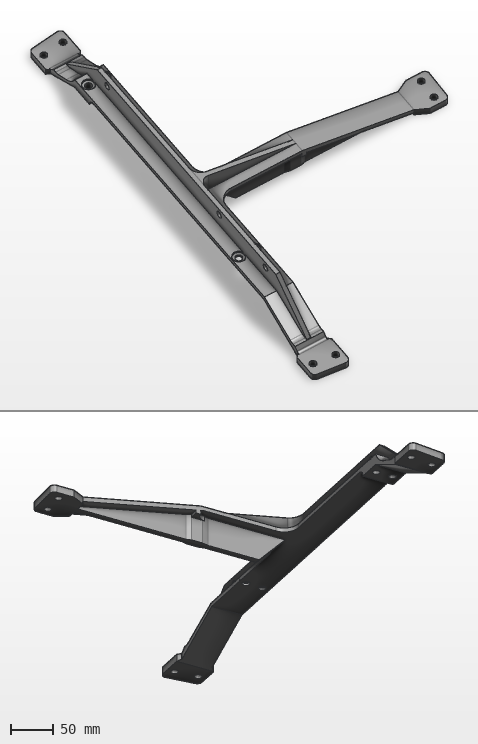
import cadquery as cq
import math

length = 612.0
height = 71.5
half_length = length / 2
flange_width = 41.0
flange_half_width = flange_width / 2
flange_top = 43.0
flange_thickness = 5.5
flange_bottom = flange_top - flange_thickness
web_thickness = 6.0
web_top_half_length = 189.0
flange_bend = 191.0
underside_bend = 189.0
slope_foot = 248.5
slope_foot_radius = 14.0
shelf_height = 16.0
shelf_end = 256.0
foot_start = 262.0
foot_start_radius = 6.0
underside_end = 266.0

pad_outer = -211.0
pad_inner = -180.0
pad_bottom = 28.0
pad_radius = flange_bottom - pad_bottom
ramp_end = -229.0
ramp_angle = 24.0

foot_thickness = 10.0
foot_width = 50.0
foot_half_width = foot_width / 2
foot_taper = 6.0
foot_corner_radius = 6.0
neck_chamfer = 4.0
foot_hole_diameter = 9.0
foot_holes = [(289.0, 15.0), (285.0, -14.5)]

web_hole_diameter = 9.0
web_hole_height = 62.0
web_hole_positions = [-168.5, 69.0, 167.0]
screw_positions = [-196.0, 122.5]
screw_offset = 11.0
screw_diameter = 9.0
counterbore_diameter = 16.5
counterbore_depth = 2.5

arm_x = 13.5
arm_width = 33.5
arm_half_width = arm_width / 2
arm_top_start = 3.0
arm_top_end = 302.5
arm_flange_thickness = 6.0
arm_fillet = 19.5
rib_thickness = 7.0
rib_fillet = 14.0
arm_slope = (height - foot_thickness) / (arm_top_end - arm_top_start)
arm_bend = arm_top_start + (height - flange_top) / arm_slope
slab_drop = arm_flange_thickness * math.hypot(1, arm_slope)
slab_end = arm_top_end + foot_thickness / arm_slope

keel_half_thickness = 3.5
keel_start = 56.0
boss_half_thickness = 5.5
boss_start = 125.5
boss_flat_start = 133.5
boss_flat_end = 149.0
boss_end = 155.5

pad_depth = 6.0
pad_flare = arm_half_width - boss_half_thickness
pad_start = 131.0

total_depth = 374.0
arm_end = total_depth - foot_half_width
arm_foot_width = 51.5
arm_foot_lean = 2.0
arm_foot_shoulder = 319.5
arm_foot_holes = [(-1.0, 334.0), (27.5, 333.0)]


def extrude_along_y(outline, width):
    """Extrude a closed XZ outline symmetrically about Y = 0."""
    return outline.close().extrude(width / 2, both=True)


def crossbar_flange():
    ramp_end_height = shelf_height + (ramp_end + slope_foot) * math.tan(math.radians(ramp_angle))
    outline = (
        cq.Workplane("XZ")
        .moveTo(-underside_end, 0)
        .lineTo(-underside_end, foot_thickness)
        .lineTo(-foot_start, foot_thickness)
        .lineTo(-shelf_end, shelf_height)
        .lineTo(-slope_foot, shelf_height)
        .lineTo(ramp_end, ramp_end_height)
        .tangentArcPoint((pad_outer, flange_top), relative=False)
        .lineTo(flange_bend, flange_top)
        .lineTo(slope_foot, shelf_height)
        .lineTo(shelf_end, shelf_height)
        .lineTo(foot_start, foot_thickness)
        .lineTo(underside_end, foot_thickness)
        .lineTo(underside_end, 0)
        .lineTo(underside_bend, flange_bottom)
        .lineTo(pad_inner + pad_radius, flange_bottom)
        .radiusArc((pad_inner, pad_bottom), -pad_radius)
        .lineTo(pad_outer, pad_bottom)
    )
    flange = extrude_along_y(outline, flange_width)
    hollow_corners = [
        (slope_foot, shelf_height, slope_foot_radius),
        (foot_start, foot_thickness, foot_start_radius),
    ]
    for x, z, radius in hollow_corners:
        for side in (-1, 1):
            corner = cq.selectors.NearestToPointSelector((side * x, 0, z))
            flange = flange.edges("|Y").edges(corner).fillet(radius)
    return flange


def crossbar_web():
    outline = (
        cq.Workplane("XZ")
        .moveTo(-foot_start, foot_thickness)
        .lineTo(-web_top_half_length, height)
        .lineTo(web_top_half_length, height)
        .lineTo(foot_start, foot_thickness)
        .lineTo(underside_end, 0)
        .lineTo(underside_bend, flange_bottom)
        .lineTo(pad_outer, flange_bottom)
        .lineTo(pad_outer, pad_bottom)
        .lineTo(-underside_end, 0)
    )
    return extrude_along_y(outline, web_thickness)


def round_corners(plate, box_low, box_high):
    """Round the upright edges of a foot that lie inside a box."""
    inside = cq.selectors.BoxSelector(box_low, box_high)
    return plate.edges("|Z").edges(inside).fillet(foot_corner_radius)


def bolt_holes(centers):
    """Through holes of a foot."""
    return (
        cq.Workplane("XY")
        .pushPoints(centers)
        .circle(foot_hole_diameter / 2)
        .extrude(foot_thickness)
    )


def corner_allowance(lean, width):
    """How far a leaning edge's sharp corner stands beyond the rounded corner."""
    angle = math.atan(lean / width)
    return foot_corner_radius * (math.tan(angle) + 1 / math.cos(angle) - 1)


def crossbar_foot():
    """Foot at the +X end, with its neck relieved along the sloped underside."""
    corner_x = half_length + corner_allowance(foot_taper, foot_width)
    neck_half_width = foot_half_width - neck_chamfer
    plate = (
        cq.Workplane("XY")
        .moveTo(foot_start, -neck_half_width)
        .lineTo(foot_start + neck_chamfer, -foot_half_width)
        .lineTo(corner_x - foot_taper, -foot_half_width)
        .lineTo(corner_x, foot_half_width)
        .lineTo(foot_start + neck_chamfer, foot_half_width)
        .lineTo(foot_start, neck_half_width)
        .close()
        .extrude(foot_thickness)
    )
    outer_half_start = (foot_start + half_length) / 2
    plate = round_corners(
        plate, (outer_half_start, -foot_width, 0), (length, foot_width, foot_thickness)
    )
    underside_slope = flange_bottom / (underside_end - underside_bend)
    relief = (
        cq.Workplane("XZ")
        .moveTo(underside_end, 0)
        .lineTo(foot_start, 0)
        .lineTo(foot_start, (underside_end - foot_start) * underside_slope)
    )
    plate = plate.cut(extrude_along_y(relief, foot_width))
    return plate.cut(bolt_holes(foot_holes))


def arm_side_plane():
    """Workplane in the upright middle plane of the arm."""
    return cq.Workplane("YZ", origin=(arm_x, 0, 0))


def flared_strip(half_width, base_y, fillet, depth):
    """Strip along the arm whose base flares into the crossbar with two fillets."""
    return (
        cq.Workplane("XY")
        .center(arm_x, 0)
        .moveTo(-half_width - fillet, 0)
        .lineTo(-half_width - fillet, base_y)
        .radiusArc((-half_width, base_y + fillet), -fillet)
        .lineTo(-half_width, arm_top_end)
        .lineTo(half_width, arm_top_end)
        .lineTo(half_width, base_y + fillet)
        .radiusArc((half_width + fillet, base_y), -fillet)
        .lineTo(half_width + fillet, 0)
        .close()
        .extrude(depth)
    )


def arm_flange():
    """Flat near the crossbar, then a slab that follows the sloped top of the arm."""
    profile = (
        arm_side_plane()
        .moveTo(0, flange_bottom)
        .lineTo(0, flange_top)
        .lineTo(arm_bend, flange_top)
        .lineTo(slab_end, 0)
        .lineTo(slab_end - slab_drop / arm_slope, 0)
        .lineTo(arm_bend - (slab_drop - flange_top + flange_bottom) / arm_slope, flange_bottom)
        .close()
        .extrude(half_length, both=True)
    )
    plan = flared_strip(arm_half_width, flange_half_width, arm_fillet, height)
    return profile.intersect(plan)


def arm_rib():
    """Upright rib above the arm flange, falling from the web top to the flange."""
    profile = (
        arm_side_plane()
        .moveTo(0, flange_bottom)
        .lineTo(0, height)
        .lineTo(arm_top_start, height)
        .lineTo(arm_bend, flange_top)
        .lineTo(arm_bend, flange_bottom)
        .close()
        .extrude(half_length, both=True)
    )
    return profile.intersect(flared_strip(rib_thickness / 2, web_thickness / 2, rib_fillet, height))


def arm_keel():
    """Web below the arm flange, down to the base plane."""
    return (
        arm_side_plane()
        .moveTo(keel_start, 0)
        .lineTo(flange_half_width, flange_bottom)
        .lineTo(arm_bend, flange_bottom)
        .lineTo(slab_end - slab_drop / arm_slope, 0)
        .close()
        .extrude(keel_half_thickness, both=True)
    )


def arm_boss():
    """Thicker stretch of the keel with slanted end faces."""
    return (
        cq.Workplane("XY")
        .center(arm_x, 0)
        .moveTo(keel_half_thickness, boss_start)
        .lineTo(boss_half_thickness, boss_flat_start)
        .lineTo(boss_half_thickness, boss_flat_end)
        .lineTo(keel_half_thickness, boss_end)
        .lineTo(-keel_half_thickness, boss_end)
        .lineTo(-boss_half_thickness, boss_flat_end)
        .lineTo(-boss_half_thickness, boss_flat_start)
        .lineTo(-keel_half_thickness, boss_start)
        .close()
        .extrude(flange_bottom)
    )


def arm_pad():
    """Shallow pad whose front corners are hollow arcs."""
    pad_flare_end = pad_start + pad_flare
    return (
        cq.Workplane("XY", origin=(arm_x, 0, flange_bottom - pad_depth))
        .moveTo(-boss_half_thickness, pad_start)
        .lineTo(boss_half_thickness, pad_start)
        .radiusArc((arm_half_width, pad_flare_end), pad_flare)
        .lineTo(arm_half_width, boss_flat_end)
        .lineTo(-arm_half_width, boss_flat_end)
        .lineTo(-arm_half_width, pad_flare_end)
        .radiusArc((-boss_half_thickness, pad_start), pad_flare)
        .close()
        .extrude(pad_depth)
    )


def arm_foot():
    half_width = arm_foot_width / 2
    corner_y = arm_end + corner_allowance(arm_foot_lean, arm_foot_width)
    plate = (
        cq.Workplane("XY")
        .center(arm_x, 0)
        .moveTo(-arm_half_width, arm_top_end)
        .lineTo(-half_width, arm_foot_shoulder)
        .lineTo(-half_width, corner_y)
        .lineTo(half_width, corner_y - arm_foot_lean)
        .lineTo(half_width, arm_foot_shoulder)
        .lineTo(arm_half_width, arm_top_end)
        .close()
        .extrude(foot_thickness)
    )
    middle_y = (arm_foot_shoulder + arm_end) / 2
    plate = round_corners(plate, (-length, middle_y, 0), (length, length, foot_thickness))
    return plate.cut(bolt_holes(arm_foot_holes))


def web_holes():
    return (
        cq.Workplane("XZ")
        .pushPoints([(x, web_hole_height) for x in web_hole_positions])
        .circle(web_hole_diameter / 2)
        .extrude(web_thickness, both=True)
    )


def screw_holes():
    """Counterbored holes down through the flange, in pairs astride the web."""
    centers = [(x, side * screw_offset) for x in screw_positions for side in (-1, 1)]
    shafts = cq.Workplane("XY").pushPoints(centers).circle(screw_diameter / 2).extrude(flange_top)
    recesses = (
        cq.Workplane("XY", origin=(0, 0, flange_top - counterbore_depth))
        .pushPoints(centers)
        .circle(counterbore_diameter / 2)
        .extrude(counterbore_depth)
    )
    return shafts.union(recesses)


right_foot = crossbar_foot()
result = (
    crossbar_flange()
    .cut(screw_holes())
    .union(crossbar_web().cut(web_holes()))
    .union(right_foot)
    .union(right_foot.mirror("YZ"))
    .union(arm_flange())
    .union(arm_rib())
    .union(arm_keel())
    .union(arm_boss())
    .union(arm_pad())
    .union(arm_foot())
    .clean()
)